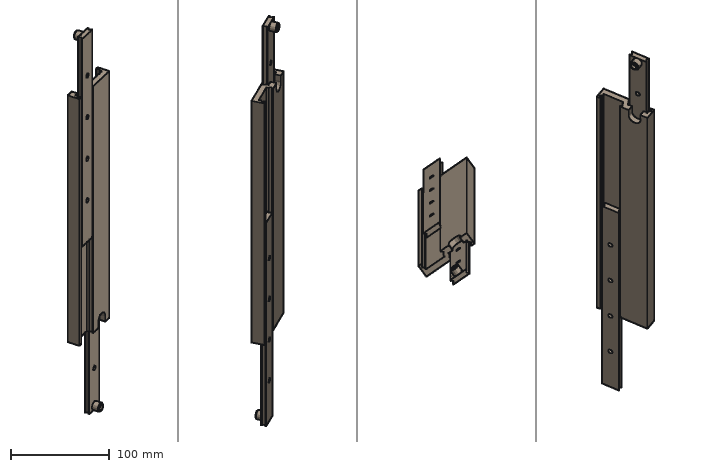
import cadquery as cq

OVERALL_HEIGHT = 475.0
THICKNESS = 14.0
WIDTH = 60.0
FRONT_FACE = THICKNESS / 2

HOUSING_LENGTH = 300.5
HOUSING_BOTTOM = 105.0
HOUSING_TOP = HOUSING_BOTTOM + HOUSING_LENGTH
CHANNEL_WIDTH = 23.5
CHANNEL_DEPTH = 7.0
CHANNEL_OFFSET = 14.3
NOTCH_OFFSET = 14.5
NOTCH_WIDTH = 14.0
NOTCH_DEPTH = 14.3

GROOVE_DIAMETER = 3.5

RAIL_LENGTH = 253.0
RAIL_WIDTH = 20.0
RAIL_THICKNESS = 5.5
RAIL_OFFSET = 14.0
HOLE_DIAMETER = 4.8
HOLE_COUNT = 4
HOLE_PITCH = RAIL_LENGTH / (HOLE_COUNT + 1)
STOP_DIAMETER = 10.0
STOP_LENGTH = THICKNESS - RAIL_THICKNESS
STOP_CHAMFER = 1.2
SOCKET_DIAMETER = 5.5
SOCKET_DEPTH = 4.0

GROOVE_X = FRONT_FACE - RAIL_THICKNESS / 2
MID_HEIGHT = OVERALL_HEIGHT / 2


def box(x_size, y_size, z_size, x_min, y_mid, z_min):
    """Block placed by its lowest X, its middle Y and its lowest Z."""
    block = cq.Workplane("XY").box(x_size, y_size, z_size, centered=(False, True, False))
    return block.translate((x_min, y_mid, z_min))


def x_cylinder(diameter, length, x_min, y, z):
    """Cylinder along +X that starts at x_min."""
    return cq.Workplane("YZ").circle(diameter / 2).extrude(length).translate((x_min, y, z))


def half_turn(body):
    """Turn a body upside down about a Y axis at mid height, swapping its X faces."""
    pivot = (0, 0, MID_HEIGHT)
    return body.rotate(pivot, (0, 1, MID_HEIGHT), 180)


def cut_edge_grooves(body, x, y_mid, width, z_min, length):
    """Cut a round groove along Z at each side of a strip of the given width."""
    for edge in (-1, 1):
        groove = cq.Workplane("XY").center(x, y_mid + edge * width / 2).circle(GROOVE_DIAMETER / 2)
        body = body.cut(groove.extrude(length).translate((0, 0, z_min)))
    return body


def make_housing():
    body = box(THICKNESS, WIDTH, HOUSING_LENGTH, -FRONT_FACE, 0, HOUSING_BOTTOM)
    channel_starts = ((1, -FRONT_FACE), (-1, FRONT_FACE - CHANNEL_DEPTH))
    for side, x_min in channel_starts:
        y = side * CHANNEL_OFFSET
        body = body.cut(box(CHANNEL_DEPTH, CHANNEL_WIDTH, HOUSING_LENGTH, x_min, y, HOUSING_BOTTOM))
        body = cut_edge_grooves(body, -side * GROOVE_X, y, CHANNEL_WIDTH, HOUSING_BOTTOM, HOUSING_LENGTH)
    straight = NOTCH_DEPTH - NOTCH_WIDTH / 2
    for side, notch_end, x_min in ((1, HOUSING_BOTTOM, 0), (-1, HOUSING_TOP, -FRONT_FACE)):
        y = side * NOTCH_OFFSET
        arc_z = notch_end + side * straight
        body = body.cut(box(FRONT_FACE, NOTCH_WIDTH, straight, x_min, y, min(notch_end, arc_z)))
        body = body.cut(x_cylinder(NOTCH_WIDTH, FRONT_FACE, x_min, y, arc_z))
    return body


def make_rail(side):
    """Rail at the -X face with its stop at the bottom end."""
    y_mid = side * RAIL_OFFSET
    rail = box(RAIL_THICKNESS, RAIL_WIDTH, RAIL_LENGTH, -FRONT_FACE, y_mid, 0)
    rail = cut_edge_grooves(rail, -GROOVE_X, y_mid, RAIL_WIDTH, 0, RAIL_LENGTH)
    for index in range(1, HOLE_COUNT + 1):
        rail = rail.cut(x_cylinder(HOLE_DIAMETER, RAIL_THICKNESS, -FRONT_FACE, y_mid, index * HOLE_PITCH))
    return rail.union(make_stop(y_mid))


def make_stop(y):
    """Round stop on the rail's inner face, with a chamfered and socketed tip."""
    z = STOP_DIAMETER / 2
    stop = x_cylinder(STOP_DIAMETER, STOP_LENGTH, -FRONT_FACE + RAIL_THICKNESS, y, z)
    stop = stop.faces(">X").chamfer(STOP_CHAMFER)
    return stop.cut(x_cylinder(SOCKET_DIAMETER, SOCKET_DEPTH, FRONT_FACE - SOCKET_DEPTH, y, z))


housing = make_housing()
rails = [make_rail(1), half_turn(make_rail(-1))]

result = cq.Compound.makeCompound([housing.val(), *[rail.val() for rail in rails]])